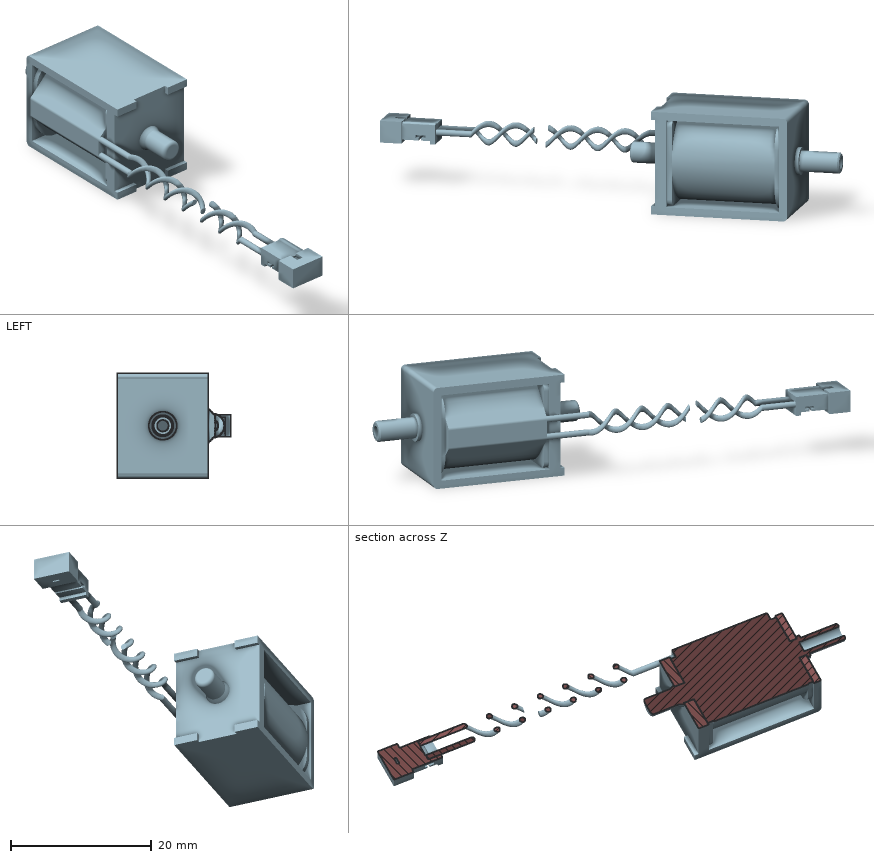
import cadquery as cq
import math


yoke_length = 20.05
yoke_height = 15.0
yoke_depth = 13.0
yoke_thickness = 1.2
yoke_corner_radius = 0.6
yoke_inner_half = yoke_height / 2 - yoke_thickness

plate_start = 17.75
plate_thickness = 1.65
plate_end = plate_start + plate_thickness
tab_width = 5.85

winding_radius = yoke_inner_half
winding_start = 1.9
winding_end = 17.0
flange_half_depth = 6.2
inlet_flange_corner = 3.45
outlet_flange_corner = 1.0
port_radius = 1.5
port_tip_chamfer = 0.2
inlet_tip = -6.3
inlet_bore_radius = 0.8
inlet_bore_depth = 6.3
inlet_collar_radius = 2.0
inlet_collar_thickness = 0.55
outlet_tip = 24.45
outlet_tip_fillet = 0.5
outlet_cone_length = 0.75
outlet_cone_radius = 1.85

wire_radius = 0.45
twist_radius = 1.3
twist_pitch = 8.0
cable_y = -(math.sqrt(2) * (winding_radius - wire_radius) - twist_radius)
lead_start = 13.35
lead_twist_start = 23.4
lead_twist_end = 38.55
plug_twist_start = 40.35
plug_twist_end = 49.4

body_start = 54.5
head_start = 59.35
connector_end = 62.5
body_width = 4.2
body_y = cable_y + 0.2
body_top = 1.25
body_bottom = -1.1
head_width = 5.5
head_half_height = 1.6
head_y = cable_y + 0.1
foot_length = 0.75
rib_width = 0.75
rib_inset = 0.2
rib_height = 0.2
wire_recess_depth = 2.05
head_slot_length = 1.5
head_slot_width = 1.0
head_slot_floor = 0.95
head_slot_gap = 0.3
window_start = 55.9
window_end = 57.35
window_top = -0.35
window_bottom = -0.75
mouth_start = 56.6
mouth_end = 56.95


def box(x0, x1, y0, y1, z0, z1):
    """Axis-aligned block between the given limits."""
    return cq.Workplane("XY").box(x1 - x0, y1 - y0, z1 - z0, centered=False).translate((x0, y0, z0))


def rod(x0, x1, radius, y=0, z=0):
    """Cylinder parallel to X."""
    return cq.Workplane("YZ", origin=(x0, y, z)).circle(radius).extrude(x1 - x0)


def make_yoke():
    half_depth = yoke_depth / 2
    half_height = yoke_height / 2
    outer = box(0, yoke_length, -half_depth, half_depth, -half_height, half_height)
    outer = outer.edges("<X and |Y").fillet(yoke_corner_radius)
    opening = box(yoke_thickness, yoke_length, -half_depth, half_depth, -yoke_inner_half, yoke_inner_half)
    notches = box(plate_start, yoke_length, -tab_width / 2, tab_width / 2, -half_height, half_height)
    port_hole = rod(0, yoke_thickness, port_radius)
    return outer.cut(opening).cut(notches).cut(port_hole)


def make_end_plate():
    half_depth = yoke_depth / 2
    half_height = yoke_height / 2
    plate = box(plate_start, plate_end, -half_depth, half_depth, -yoke_inner_half, yoke_inner_half)
    tabs = box(plate_start, plate_end, -tab_width / 2, tab_width / 2, -half_height, half_height)
    return plate.union(tabs).cut(rod(plate_start, plate_end, port_radius))


def make_winding():
    """Round winding whose 45-degree tangents run to a flat front face with rounded corners."""
    diagonal = math.sqrt(0.5)
    tangent = winding_radius * diagonal
    corner = wire_radius * diagonal
    mid_y = wire_radius * math.cos(math.pi / 8)
    mid_z = wire_radius * math.sin(math.pi / 8)
    front_y = cable_y - wire_radius
    return (
        cq.Workplane("YZ", origin=(winding_start, 0, 0))
        .moveTo(-tangent, -tangent)
        .threePointArc((winding_radius, 0), (-tangent, tangent))
        .lineTo(cable_y - corner, twist_radius + corner)
        .threePointArc((cable_y - mid_y, twist_radius + mid_z), (front_y, twist_radius))
        .lineTo(front_y, -twist_radius)
        .threePointArc((cable_y - mid_y, -twist_radius - mid_z), (cable_y - corner, -twist_radius - corner))
        .close()
        .extrude(winding_end - winding_start)
    )


def make_flange(x0, x1, corner_radius):
    """Square bobbin flange with rounded corners."""
    flange = box(x0, x1, -flange_half_depth, flange_half_depth, -yoke_inner_half, yoke_inner_half)
    return flange.edges("|X").fillet(corner_radius)


def make_inlet():
    tube = rod(inlet_tip, yoke_thickness, port_radius).faces("<X").chamfer(port_tip_chamfer)
    collar = rod(-inlet_collar_thickness, 0, inlet_collar_radius)
    return tube.union(collar)


def make_outlet():
    """Turned port with a cone where it leaves the end plate and a rounded tip."""
    profile = [
        (plate_start, 0),
        (plate_start, port_radius),
        (plate_end, port_radius),
        (plate_end, outlet_cone_radius),
        (plate_end + outlet_cone_length, port_radius),
        (outlet_tip, port_radius),
        (outlet_tip, 0),
    ]
    port = cq.Workplane("XY").polyline(profile).close().revolve(360, (0, 0, 0), (1, 0, 0))
    return port.faces(">X").edges().fillet(outlet_tip_fillet)


def make_coil():
    inlet_flange = make_flange(yoke_thickness, winding_start, inlet_flange_corner)
    outlet_flange = make_flange(winding_end, plate_start, outlet_flange_corner)
    coil = make_winding().union(inlet_flange).union(outlet_flange)
    coil = coil.union(make_inlet()).union(make_outlet())
    coil = coil.cut(rod(inlet_tip, inlet_tip + inlet_bore_depth, inlet_bore_radius))
    for side in (1, -1):
        coil = coil.cut(rod(lead_start, winding_end, wire_radius, cable_y, side * twist_radius))
    return coil


def make_twist(x0, x1):
    """Left-handed twisted stretch that starts above the cable axis."""
    start = cq.Plane(origin=(x0, cable_y, 0), xDir=(0, 0, 1), normal=(1, 0, 0))
    helix = cq.Wire.makeHelix(twist_pitch, x1 - x0, twist_radius, lefthand=True).moved(cq.Location(start))
    section = cq.Workplane(start).center(twist_radius, 0).circle(wire_radius)
    return section.sweep(cq.Workplane(helix), isFrenet=True)


def turn(shape, angle):
    """Turn a shape about the cable axis."""
    return shape.rotate((0, cable_y, 0), (1, cable_y, 0), angle)


def make_lead_wire(angle):
    """Wire from the coil; angle 0 is the upper one."""
    straight = rod(lead_start, lead_twist_start, wire_radius, cable_y, twist_radius)
    return turn(straight.union(make_twist(lead_twist_start, lead_twist_end)), angle)


def make_plug_wire(angle):
    """Wire to the connector; angle 0 ends on the +Y side."""
    twist_angle = 360 * (plug_twist_end - plug_twist_start) / twist_pitch
    twist = turn(make_twist(plug_twist_start, plug_twist_end), twist_angle - 90)
    straight = rod(plug_twist_end, body_start + wire_recess_depth, wire_radius, cable_y + twist_radius)
    return turn(twist.union(straight), angle)


def make_rib():
    """Low rounded rib along the body's top, near its +Y edge."""
    y1 = body_y + body_width / 2 - rib_inset
    y0 = y1 - rib_width
    crown = ((y0 + y1) / 2, body_top + rib_height)
    profile = cq.Workplane("YZ", origin=(body_start, 0, 0)).moveTo(y0, body_top)
    return profile.threePointArc(crown, (y1, body_top)).close().extrude(head_start - body_start)


def make_connector_body():
    """Body with a foot, a rib, a latch window and one rounded recess that takes both wires."""
    y0 = body_y - body_width / 2
    y1 = body_y + body_width / 2
    body = box(body_start, head_start, y0, y1, body_bottom, body_top)
    foot = box(body_start, body_start + foot_length, y0, y1, -head_half_height, body_bottom)
    window = box(window_start, window_end, y0, y1, window_bottom, window_top)
    mouth = box(mouth_start, mouth_end, y0, y1, body_bottom, window_bottom)
    recess_width = 2 * (twist_radius + wire_radius)
    recess = cq.Workplane("YZ", origin=(body_start, cable_y, 0)).slot2D(recess_width, 2 * wire_radius)
    recess = recess.extrude(wire_recess_depth)
    return body.union(foot).union(make_rib()).cut(window).cut(mouth).cut(recess)


def make_connector_head():
    """Head block with a shallow slot in its top and a narrow gap through it at the slot's end."""
    y0 = head_y - head_width / 2
    head = box(head_start, connector_end, y0, y0 + head_width, -head_half_height, head_half_height)
    slot_end = head_start + head_slot_length
    slot_y0 = cable_y - head_slot_width / 2
    slot_y1 = cable_y + head_slot_width / 2
    slot = box(head_start, slot_end, slot_y0, slot_y1, head_slot_floor, head_half_height)
    gap = box(slot_end - head_slot_gap, slot_end, slot_y0, slot_y1, -head_half_height, head_half_height)
    return head.cut(slot).cut(gap)


def make_connector():
    return make_connector_body().union(make_connector_head())


yoke = make_yoke()
end_plate = make_end_plate()
coil = make_coil()
lead_wires = [make_lead_wire(angle) for angle in (0, 180)]
plug_wires = [make_plug_wire(angle) for angle in (0, 180)]
connector = make_connector()

bodies = [yoke, end_plate, coil, *lead_wires, *plug_wires, connector]
result = cq.Compound.makeCompound([body.solids().val() for body in bodies])